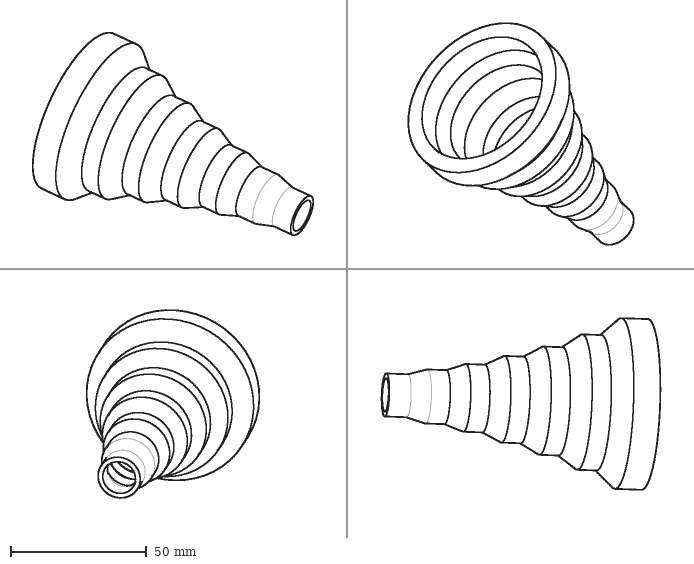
import cadquery as cq

length = 97.0
mouth_length = 10.0
section_length = 7.2
first_bore_cone_length = 4.2
step_pitch = 2 * section_length

outer_diameters = [63.0, 50.0, 40.0, 32.0, 25.0, 20.0, 15.9]
bore_diameters = [51.2, 43.5, 35.9, 28.9, 22.5, 16.9, 12.3]


def stepped_cone(diameters, first_cone_length):
    """Solid of cylinders joined by cones, revolved about the X axis."""
    radii = [diameter / 2 for diameter in diameters]
    profile = [(0, 0), (0, radii[0])]
    cone_start = mouth_length
    cone_length = first_cone_length
    for wide_radius, narrow_radius in zip(radii, radii[1:]):
        profile.append((cone_start, wide_radius))
        profile.append((cone_start + cone_length, narrow_radius))
        cone_start += step_pitch
        cone_length = section_length
    profile.append((length, radii[-1]))
    profile.append((length, 0))
    return cq.Workplane("XZ").polyline(profile).close().revolve(360, (0, 0, 0), (1, 0, 0))


body = stepped_cone(outer_diameters, section_length)
bore = stepped_cone(bore_diameters, first_bore_cone_length)
result = body.cut(bore)